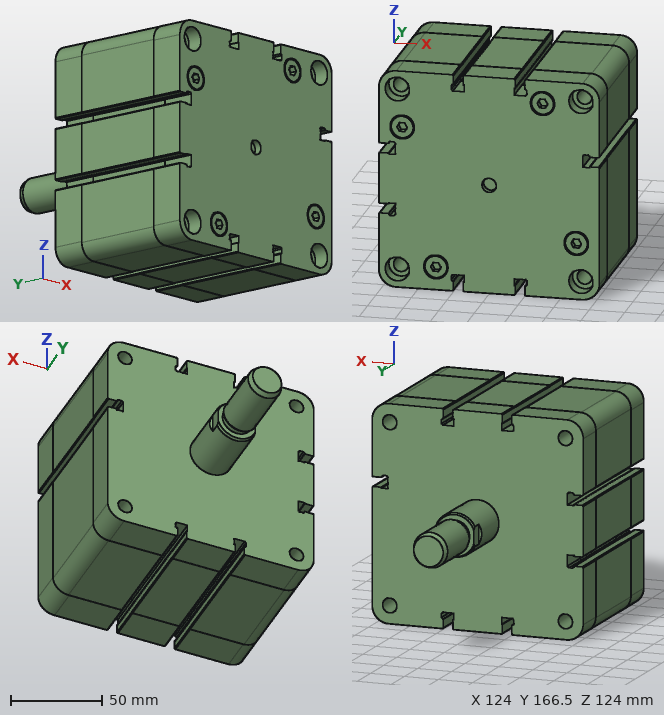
import cadquery as cq
import math

side = 124.0
body_length = 92.0
cap_thickness = 19.5
cap_corner_radius = 9.7
barrel_corner_radius = 9.0
barrel_inset = 0.2

slot_offset = 17.3
slot_width = 5.5
slot_depth = 9.3
slot_head_depth = 5.5
slot_outer_step = 1.2
slot_inner_step = 0.5
slot_corner = 0.8
slot_mouth_chamfer = 0.5

mount_offset = 51.6
mount_hole_diameter = 8.3
mount_bore_diameter = 13.5
mount_bore_depth = 9.0

screw_near = 30.0
screw_far = 49.0
screw_head_diameter = 12.5
screw_recess_diameter = 13.5
screw_gap_depth = 0.8
hex_across_flats = 5.0
hex_depth = 4.2

centre_hole_diameter = 8.0
centre_hole_depth = 4.2

total_length = 166.5
rod_diameter = 25.0
rod_chamfer_length = 1.7
rod_chamfer_height = 0.7
thread_diameter = 20.0
thread_length = 36.6
thread_tip_length = 3.3
thread_tip_height = 1.3
thread_end_chamfer = 0.8
neck_diameter = 17.5
neck_length = 3.3
flat_across = 22.3
flat_length = 7.2


def front_plane(y):
    """Sketch plane at height y: local x is X, local y is Z, normal is -Y."""
    return cq.Workplane("XZ", origin=(0, y, 0))


def slot_cutter(width, y_start, length):
    """Slot on the +X half of the top face of a block of this width."""
    top = width / 2
    inner = slot_offset - slot_width / 2
    outer = slot_offset + slot_width / 2
    head_inner = inner - slot_inner_step
    head_outer = outer + slot_outer_step
    head = top - slot_head_depth
    floor = top - slot_depth
    mouth = top - slot_mouth_chamfer
    outline = [
        (inner - slot_mouth_chamfer, top),
        (inner, mouth),
        (inner, head),
        (head_inner, head),
        (head_inner, floor),
        (head_outer - slot_corner, floor),
        (head_outer, floor + slot_corner),
        (head_outer, head - slot_corner),
        (head_outer - slot_corner, head),
        (outer, head),
        (outer, mouth),
        (outer + slot_mouth_chamfer, top),
    ]
    return front_plane(y_start).polyline(outline).close().extrude(-length)


def turn(shape, degrees):
    return shape.rotate((0, 0, 0), (0, 1, 0), degrees)


def slotted_block(width, y_start, length, corner_radius):
    block = front_plane(y_start).rect(width, width).extrude(-length)
    block = block.edges("|Y").fillet(corner_radius)

    right_hand = slot_cutter(width, y_start, length)
    left_hand = right_hand.mirror("YZ")
    for degrees in (0, 180, -90):
        block = block.cut(turn(right_hand, degrees))
    for degrees in (0, 180, -90, 90):
        block = block.cut(turn(left_hand, degrees))
    return block


def make_body():
    barrel_side = side - 2 * barrel_inset
    barrel_length = body_length - 2 * cap_thickness
    front_cap = slotted_block(side, 0, cap_thickness, cap_corner_radius)
    barrel = slotted_block(barrel_side, cap_thickness, barrel_length, barrel_corner_radius)
    rear_cap = slotted_block(side, body_length - cap_thickness, cap_thickness, cap_corner_radius)
    return front_cap.union(barrel).union(rear_cap)


def cut_mounting_holes(body):
    spacing = 2 * mount_offset
    corners = front_plane(0).rect(spacing, spacing, forConstruction=True).vertices()
    body = body.cut(corners.circle(mount_hole_diameter / 2).extrude(-body_length))
    return body.cut(corners.circle(mount_bore_diameter / 2).extrude(-mount_bore_depth))


def cut_screws(body):
    """Ring-shaped gap around each screw head, and its hexagon socket."""
    positions = [
        (screw_near, screw_far),
        (screw_far, -screw_near),
        (-screw_near, -screw_far),
        (-screw_far, screw_near),
    ]
    hex_across_corners = hex_across_flats / math.cos(math.pi / 6)
    spots = front_plane(0).pushPoints(positions)
    gaps = spots.circle(screw_recess_diameter / 2).circle(screw_head_diameter / 2).extrude(-screw_gap_depth)
    sockets = spots.polygon(6, hex_across_corners).extrude(-hex_depth)
    return body.cut(gaps).cut(sockets)


def cut_centre_hole(body):
    hole = front_plane(0).circle(centre_hole_diameter / 2).extrude(-centre_hole_depth)
    return body.cut(hole)


def make_rod():
    rod_radius = rod_diameter / 2
    thread_radius = thread_diameter / 2
    neck_radius = neck_diameter / 2
    thread_start = total_length - thread_length
    shoulder = thread_start - neck_length
    profile = [
        (0, body_length),
        (rod_radius, body_length),
        (rod_radius, shoulder - rod_chamfer_length),
        (rod_radius - rod_chamfer_height, shoulder),
        (neck_radius, shoulder),
        (neck_radius, thread_start),
        (thread_radius - thread_end_chamfer, thread_start),
        (thread_radius, thread_start + thread_end_chamfer),
        (thread_radius, total_length - thread_tip_length),
        (thread_radius - thread_tip_height, total_length),
        (0, total_length),
    ]
    rod = cq.Workplane("XY").polyline(profile).close().revolve(360, (0, 0, 0), (0, 1, 0))

    flat_x = flat_across / 2
    flat_end = shoulder - flat_length
    run_out = rod_radius - flat_x
    flat_outline = [
        (flat_x, shoulder),
        (flat_x, flat_end),
        (rod_radius, flat_end - run_out),
        (rod_radius, shoulder),
    ]
    flat = cq.Workplane("XY").polyline(flat_outline).close().extrude(rod_radius, both=True)
    return rod.cut(flat).cut(flat.mirror("YZ"))


body = make_body()
body = cut_mounting_holes(body)
body = cut_screws(body)
body = cut_centre_hole(body)
result = body.union(make_rod())